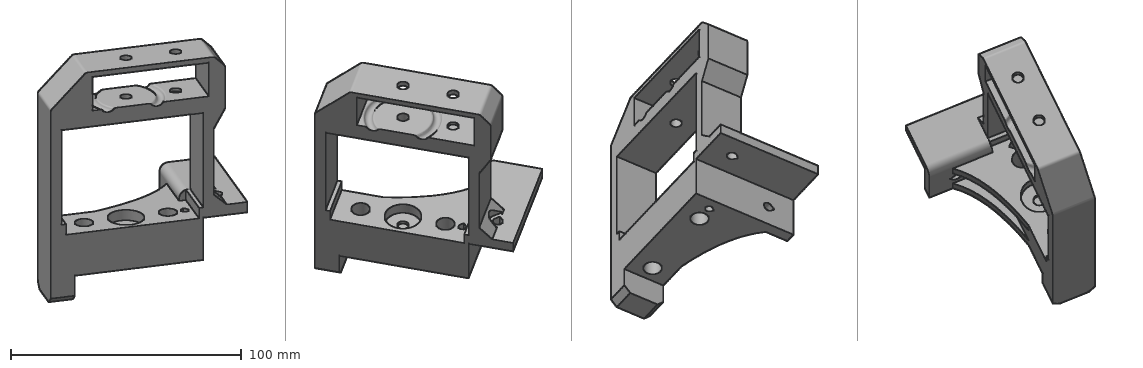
import cadquery as cq
import math

width = 50.0
depth = 89.0
height = 108.5

frame_thickness = 20.1
frame_x = width - frame_thickness
mid_x = width - frame_thickness / 2
wall = 5.0

base_z = 12.5
floor_z = 32.5
bracket_top_z = floor_z + wall
rear_post_y = 69.0
rear_post_thickness = 4.8
rear_face_y = rear_post_y + rear_post_thickness
head_rear_y = 79.0
front_chamfer = 16.0
rear_chamfer = wall
taper_top_z = 83.5
taper_bottom_z = 74.3
flare_reach = 5.9
flare_height = 5.4
corner_radius = 2.0

foot_depth = 11.0
foot_chamfer = 3.0

window_top_z = 82.5
window_ledge = 2.0
slot_front_y = 19.0
slot_rear_y = 71.5
slot_bottom_z = 90.1
slot_top_z = 106.0

bracket_front_y = rear_post_y - wall
bend_radius = 4.0

rib_start_x = 11.1
rib_end_y = 25.7
rib_bend_x = 23.8
rib_bend_y = 53.3

axis_y = (wall + rear_post_y) / 2
pivot_diameter = 5.0
stop_offset = 22.5
pit_depth = 1.4
recess_diameter = 16.0
recess_depth = wall
base_hole_diameter = 8.0
base_hole_offset = 19.0

groove_radius = 15.0
groove_tube_radius = 2.0
groove_depth = 1.6
groove_edge_radius = 1.0

screw_diameter = 4.3
screw_head_diameter = 8.0
screw_spacing = 25.0
screw_x = 13.0
rear_screw_y = head_rear_y
guide_diameter = 3.4
guide_offset = 26.6


def box(x0, x1, y0, y1, z0, z1):
    """Box between two opposite corners."""
    return cq.Workplane("XY").box(x1 - x0, y1 - y0, z1 - z0, centered=False).translate((x0, y0, z0))


def extrude_side(points, x0, x1):
    """Extrude a (y, z) outline from x0 to x1."""
    return cq.Workplane("YZ").workplane(offset=x0).polyline(points).close().extrude(x1 - x0)


def round_hole(diameter, y, z_bottom, z_top):
    """Vertical cylinder on the mid-plane of the frame."""
    hole = cq.Workplane("XY").workplane(offset=z_bottom).center(mid_x, y)
    return hole.circle(diameter / 2).extrude(z_top - z_bottom)


def teardrop(diameter, length):
    """Vertical teardrop prism on the origin: a circle with a right-angled point at -X."""
    radius = diameter / 2
    tangent = radius / math.sqrt(2)
    outline = cq.Workplane("XY").moveTo(-tangent, tangent).threePointArc((radius, 0), (-tangent, -tangent))
    return outline.lineTo(-radius * math.sqrt(2), 0).close().extrude(length)


def make_frame():
    head_corners = [
        (head_rear_y, height - rear_chamfer),
        (head_rear_y - rear_chamfer, height),
        (front_chamfer, height),
        (0, height - front_chamfer),
    ]
    outline = [
        (0, 0),
        (foot_depth, 0),
        (foot_depth, base_z),
        (rear_post_y, base_z),
        (rear_post_y, floor_z),
        (rear_face_y + flare_reach, floor_z),
        (rear_face_y + flare_reach, bracket_top_z),
        (rear_face_y, bracket_top_z + flare_height),
        (rear_face_y, taper_bottom_z),
        (head_rear_y, taper_top_z),
        *head_corners,
    ]
    frame = extrude_side(outline, frame_x, width)
    for y, z in head_corners:
        frame = frame.edges(cq.NearestToPointSelector((mid_x, y, z))).fillet(corner_radius)
    return frame.faces("<Z").edges("|Y").chamfer(foot_chamfer)


def make_bracket():
    outline = [
        (bracket_front_y, base_z),
        (rear_post_y, base_z),
        (rear_post_y, floor_z),
        (depth, floor_z),
        (depth, bracket_top_z),
        (bracket_front_y, bracket_top_z),
    ]
    bend = cq.NearestToPointSelector((width / 2, bracket_front_y, bracket_top_z))
    return extrude_side(outline, 0, width).edges(bend).fillet(bend_radius)


def make_rib(z_bottom):
    edge = [
        (rib_start_x, bracket_front_y),
        (rib_bend_x, rib_bend_y),
        (frame_x, rib_end_y),
    ]
    outline = cq.Workplane("XY").workplane(offset=z_bottom).moveTo(*edge[0]).bezier(edge)
    return outline.lineTo(frame_x, bracket_front_y).close().extrude(wall)


def make_window():
    upper = box(frame_x, width, wall, rear_post_y, bracket_top_z, window_top_z)
    lower = box(frame_x, width, wall + window_ledge, rear_post_y - window_ledge, floor_z, bracket_top_z)
    return upper.union(lower)


def make_ring_groove():
    """Half-round ring channel with rounded rims, revolved about the pivot axis."""
    tube_z = groove_tube_radius - groove_depth
    reach = groove_tube_radius + groove_edge_radius
    rim_drop = groove_edge_radius + tube_z
    half_width = math.sqrt(reach ** 2 - rim_drop ** 2)
    blend = groove_tube_radius / reach
    blend_offset = half_width * blend
    blend_z = tube_z - rim_drop * blend
    rim_angle = (math.pi / 2 + math.pi - math.atan2(rim_drop, half_width)) / 2
    rim_offset = half_width + groove_edge_radius * math.cos(rim_angle)
    rim_z = groove_edge_radius * (math.sin(rim_angle) - 1)
    profile = (
        cq.Workplane("XZ")
        .moveTo(groove_radius - half_width, 0)
        .threePointArc((groove_radius - rim_offset, rim_z), (groove_radius - blend_offset, blend_z))
        .threePointArc((groove_radius, -groove_depth), (groove_radius + blend_offset, blend_z))
        .threePointArc((groove_radius + rim_offset, rim_z), (groove_radius + half_width, 0))
        .close()
    )
    return profile.revolve(360, (0, 0, 0), (0, 1, 0)).translate((mid_x, axis_y, slot_bottom_z))


part = make_frame().union(make_bracket())
for rib_z in (base_z, floor_z - wall):
    part = part.union(make_rib(rib_z))

part = part.cut(make_window())
part = part.cut(box(frame_x, width, slot_front_y, slot_rear_y, slot_bottom_z, slot_top_z))
part = part.cut(make_ring_groove())

recess_z = floor_z - recess_depth
part = part.cut(round_hole(pivot_diameter, axis_y, window_top_z, height))
part = part.cut(round_hole(recess_diameter, axis_y, recess_z, floor_z))
part = part.cut(round_hole(pivot_diameter, axis_y, recess_z - pit_depth, recess_z))

part = part.cut(round_hole(pivot_diameter, axis_y + stop_offset, slot_bottom_z - pit_depth, height))

for side in (-1, 1):
    part = part.cut(round_hole(base_hole_diameter, axis_y + side * base_hole_offset, base_z, floor_z))

guide = teardrop(guide_diameter, floor_z - base_z)
part = part.cut(guide.translate((mid_x, axis_y + guide_offset, base_z)))

upright_screw = teardrop(screw_diameter, wall).rotate((0, 0, 0), (1, 0, 0), -90)
part = part.cut(upright_screw.translate((screw_x, bracket_front_y, (base_z + floor_z) / 2)))

flat_screw_place = (screw_x + screw_spacing, rear_screw_y)
part = part.cut(teardrop(screw_diameter, wall).translate((*flat_screw_place, floor_z)))
part = part.cut(teardrop(screw_head_diameter, flare_height).translate((*flat_screw_place, bracket_top_z)))

result = part